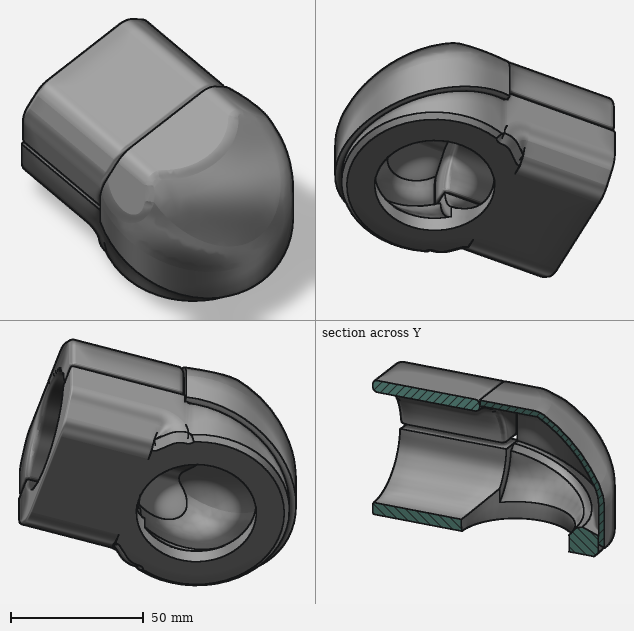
import cadquery as cq
import math


half_width = 32.6
half_height = 27.5
corner_cut = 10.0
edge_blend = 10.0
bore_radius = 22.5
half_gap = 1.0
upper_end_round = 2.0
small_round = 1.0

foot_radius = 35.0
foot_blend = 10.0
foot_chamfer = 1.95
joint_radius = 30.5
lip_chamfer = 2.0
runout_radius = 11.2
runout_start_x = -24.8
runout_skirt_taper = -45

hood_wall = 2.5
hood_radius = foot_radius + hood_wall
dome_x = -16.4
dome_z = -24.4
dome_radius = 58.2
shoulder_radius = 20.0
crown_radius = 8.0

overall_length = 97.5
clamp_length = 45.0
clamp_left = hood_radius - overall_length
hood_left = clamp_left + clamp_length

rim_slope = 0.353
hood_rim_z = -4.7
lip_rim_z = -half_gap

reach = 97.5
margin = 0.2


def block(x_range, z_range):
    """Block over the given X and Z ranges, wider than the part in Y."""
    return (
        cq.Workplane("XZ", origin=(0, reach, 0))
        .moveTo(x_range[0], z_range[0])
        .lineTo(x_range[1], z_range[0])
        .lineTo(x_range[1], z_range[1])
        .lineTo(x_range[0], z_range[1])
        .close()
        .extrude(2 * reach)
    )


def block_right_of_hood_face(rim_z, direction):
    """Space beyond the hood's left face, above (+1) or below (-1) the sloped rim plane."""
    right = hood_left + reach
    right_rim_z = rim_z - rim_slope * reach
    return (
        cq.Workplane("XZ", origin=(0, reach, 0))
        .moveTo(hood_left, rim_z)
        .lineTo(right, right_rim_z)
        .lineTo(right, direction * reach)
        .lineTo(hood_left, direction * reach)
        .close()
        .extrude(2 * reach)
    )


def edges_within(x_range, y_limit, z_range):
    """Selector for edges centred in a box that is symmetric in Y."""
    return cq.selectors.BoxSelector(
        (x_range[0], -y_limit, z_range[0]),
        (x_range[1], y_limit, z_range[1]),
    )


def plain_bar(x_end):
    """Rectangular bar along X from the clamp's left end."""
    return (
        cq.Workplane("YZ", origin=(clamp_left, 0, 0))
        .rect(2 * half_width, 2 * half_height)
        .extrude(x_end - clamp_left)
    )


def octagon_bar(x_end):
    """Rectangular bar with 45 degree corners and rounded edges."""
    chamfered = plain_bar(x_end).edges("|X").chamfer(corner_cut)
    return chamfered.edges("|X").fillet(edge_blend)


def bore():
    """Clamp bore, ending at the foot axis."""
    return (
        cq.Workplane("YZ", origin=(clamp_left, 0, 0))
        .circle(bore_radius)
        .extrude(-clamp_left)
    )



def make_upper_clamp():
    half = octagon_bar(hood_left).cut(bore())
    half = half.intersect(block((-reach, reach), (half_gap, reach)))
    half = half.faces("<Z").edges("|X").fillet(small_round)
    return half.faces("<X or >X").edges().fillet(upper_end_round)



def foot_post():
    return (
        cq.Workplane("XY", origin=(0, 0, -half_height))
        .circle(foot_radius)
        .extrude(half_height - half_gap)
    )


def runout_profile(plane):
    """Half section of the run-out: across Y from the corner, out from the turning axis."""
    blend_y = half_width - edge_blend
    diagonal = math.radians(45)
    halfway = diagonal / 2
    flank_y = blend_y + edge_blend * math.cos(diagonal)
    flank_out = runout_radius - edge_blend * math.sin(diagonal)
    outer_y = half_width + small_round
    return (
        cq.Workplane(plane)
        .moveTo(flank_y - flank_out, 0)
        .lineTo(flank_y, flank_out)
        .threePointArc(
            (
                blend_y + edge_blend * math.cos(halfway),
                runout_radius - edge_blend * math.sin(halfway),
            ),
            (half_width, runout_radius),
        )
        .lineTo(outer_y, runout_radius)
        .lineTo(outer_y, 0)
        .close()
    )


def corner_runout():
    """Cutter that turns the cut corner outward where the bar meets the foot."""
    blend_top_z = corner_cut - half_height + edge_blend * math.tan(math.radians(22.5))
    axis = (runout_start_x, 0, blend_top_z - runout_radius)
    upright = cq.Plane(origin=axis, xDir=(0, 1, 0), normal=(1, 0, 0))
    downward = cq.Plane(origin=axis, xDir=(0, 1, 0), normal=(0, 0, -1))
    turned = runout_profile(upright).revolve(360, (0, 0), (1, 0))
    skirt = runout_profile(downward).extrude(runout_radius / 2, taper=runout_skirt_taper)
    return turned.union(skirt).intersect(block((runout_start_x, 0), (-reach, 0)))


def elbow_blank():
    """Octagon bar running into a square shoulder that blends into the round foot."""
    shoulder = plain_bar(0).intersect(block((-reach, reach), (-reach, -half_gap)))
    foot = shoulder.union(foot_post())
    foot = foot.edges("|Z").edges(
        edges_within((clamp_left + margin, 0), reach, (-reach, 0))
    ).fillet(foot_blend)
    foot = foot.faces("<Z").edges(">X").chamfer(foot_chamfer)
    foot = foot.intersect(block((runout_start_x, reach), (-reach, reach)))
    runout = corner_runout()
    foot = foot.cut(runout).cut(runout.mirror("XZ"))
    bar = octagon_bar(runout_start_x).intersect(block((-reach, reach), (-reach, -half_gap)))
    return bar.union(foot)


def joint_cavity():
    """Ball-shaped elbow space with a round outlet down through the sole."""
    ball = cq.Workplane("XY").sphere(joint_radius)
    ball = ball.intersect(block((hood_left, reach), (-half_height, half_height)))
    outlet = (
        cq.Workplane("XY", origin=(0, 0, -half_height))
        .circle(bore_radius)
        .extrude(half_height)
    )
    return ball.union(outlet)


def make_lower_elbow(hood):
    body = elbow_blank().cut(bore()).cut(joint_cavity())
    body = body.cut(block_right_of_hood_face(lip_rim_z, 1))
    inner_rim = edges_within((4.9, 14.6), margin, (-half_height / 2, 0))
    body = body.edges(inner_rim).chamfer(lip_chamfer)
    body = body.faces("<X").edges().fillet(small_round)
    return body.cut(hood)



def roof_bar(inset):
    """Bar under the flat roof and its two 45 degree flanks, with rounded ridges."""
    top = half_height - inset
    ridge_y = half_width - corner_cut - inset * (math.sqrt(2) - 1)
    drop = 2 * half_height
    bar = (
        cq.Workplane("YZ", origin=(hood_left, 0, 0))
        .moveTo(-ridge_y, top)
        .lineTo(ridge_y, top)
        .lineTo(ridge_y + drop, top - drop)
        .lineTo(-ridge_y - drop, top - drop)
        .close()
        .extrude(reach)
    )
    return bar.edges("|X and >Z").fillet(edge_blend - inset)


def hood_form(inset):
    """Domed post under the roof bar, with every surface moved inward by inset."""
    post = (
        cq.Workplane("XY", origin=(0, 0, -half_height))
        .circle(hood_radius - inset)
        .extrude(reach)
    )
    dome = cq.Workplane("XY", origin=(dome_x, 0, dome_z)).sphere(dome_radius - inset)
    domed_post = post.intersect(dome).intersect(block((hood_left, reach), (-reach, reach)))
    shoulder = edges_within((hood_left + margin, reach), reach, (margin - half_height, reach))
    domed_post = domed_post.edges(shoulder).edges("not |Z").fillet(shoulder_radius - inset)
    return domed_post.intersect(roof_bar(inset))


def make_hood():
    crown = edges_within((-5.85, 9.7), reach, (14.6, reach))
    shell = hood_form(0).edges(crown).fillet(crown_radius)
    shell = shell.cut(hood_form(hood_wall))
    return shell.cut(block_right_of_hood_face(hood_rim_z, -1))


upper_clamp = make_upper_clamp()
hood = make_hood()
lower_elbow = make_lower_elbow(hood)

result = cq.Compound.makeCompound([upper_clamp.val(), lower_elbow.val(), hood.val()])